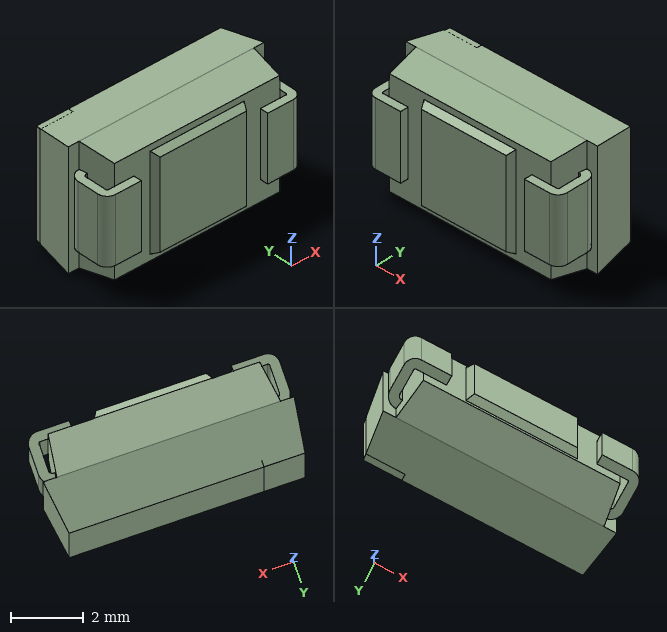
import cadquery as cq
import math


length = 7.3
width = 4.3
height = 3.1

lead_width = 2.4
lead_thickness = 0.3
foot_length = 1.3
upper_bend_radius = 0.4
lower_bend_radius = 0.35

draft_angle = 8
back_depth = height / 2
front_depth = height / 2 - lead_thickness
lead_recess = 0.4
front_length = length - 2 * lead_recess

pad_size = 3.49
pad_height = 0.25
pad_bevel = 0.135

stripe_length = 1.2
stripe_depth = 0.2
stripe_side_wall = 0.002


def draft_inset(depth):
    """Distance by which a drafted side moves inward over the given depth."""
    return depth * math.tan(math.radians(draft_angle))


def drafted_block(size_x, size_z, start_y, end_y, inset):
    """Block whose rectangle at start_y shrinks by inset on every side on the way to end_y."""
    return (
        cq.Workplane("XZ", origin=(0, start_y, 0))
        .rect(size_x, size_z)
        .workplane(offset=start_y - end_y)
        .rect(size_x - 2 * inset, size_z - 2 * inset)
        .loft(ruled=True)
    )


def make_back_half():
    return drafted_block(length, width, 0, back_depth, draft_inset(back_depth))


def make_front_half():
    return drafted_block(front_length, width, 0, -front_depth, draft_inset(front_depth))


def make_stripe():
    """Stripe flush with the back face, its outer end following the drafted end face of the housing."""
    back_inset = draft_inset(back_depth)
    inner_end = -length / 2 + back_inset + stripe_length
    stripe_width = width - 2 * (back_inset + stripe_side_wall)
    blank = cq.Workplane("XY").box(length, stripe_depth, stripe_width)
    blank = blank.translate((inner_end - length / 2, back_depth - stripe_depth / 2, 0))
    return blank.intersect(make_back_half())


def make_housing():
    return make_back_half().union(make_front_half()).cut(make_stripe())


def make_pad():
    return drafted_block(pad_size, pad_size, -front_depth, -front_depth - pad_height, pad_bevel)


def make_lead(side):
    """C-shaped lead at the +X (side = 1) or -X (side = -1) end, its top arm butting against the housing."""
    outer_x = length / 2
    inner_x = outer_x - lead_thickness
    foot_end = outer_x - foot_length
    bottom_y = -height / 2
    outline = (
        cq.Workplane("XY", origin=(0, 0, -lead_width / 2))
        .moveTo(side * foot_end, bottom_y)
        .lineTo(side * outer_x, bottom_y)
        .lineTo(side * outer_x, 0)
        .lineTo(side * foot_end, 0)
        .lineTo(side * foot_end, -lead_thickness)
        .lineTo(side * inner_x, -lead_thickness)
        .lineTo(side * inner_x, -front_depth)
        .lineTo(side * foot_end, -front_depth)
        .close()
    )
    strip = outline.extrude(lead_width)

    def round_corner(body, x, y, radius):
        corner = cq.selectors.NearestToPointSelector((side * x, y, 0))
        return body.edges("|Z").edges(corner).fillet(radius)

    strip = round_corner(strip, outer_x, 0, upper_bend_radius)
    strip = round_corner(strip, inner_x, -lead_thickness, upper_bend_radius - lead_thickness)
    strip = round_corner(strip, outer_x, bottom_y, lower_bend_radius)
    strip = round_corner(strip, inner_x, -front_depth, lower_bend_radius - lead_thickness)
    return strip.cut(make_front_half())


housing = make_housing()
stripe = make_stripe()
pad = make_pad()
leads = [make_lead(side) for side in (-1, 1)]

result = cq.Compound.makeCompound(
    [housing.val(), stripe.val(), pad.val(), *[lead.val() for lead in leads]]
)